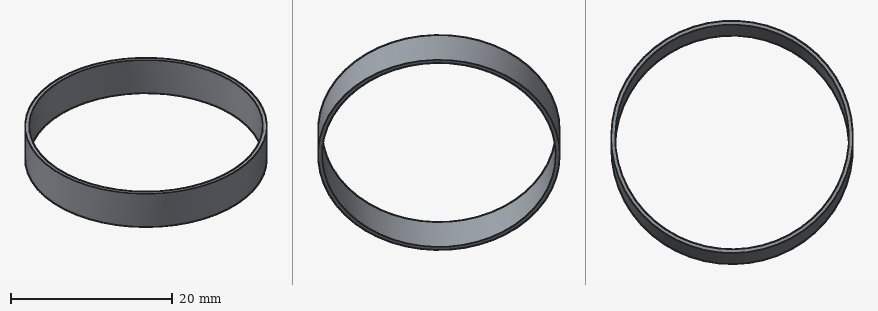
import cadquery as cq

outer_diameter = 30.0
wall_thickness = 0.5
height = 5.0

outer_radius = outer_diameter / 2
inner_radius = outer_radius - wall_thickness

result = (
    cq.Workplane("XY")
    .circle(outer_radius)
    .circle(inner_radius)
    .extrude(height)
)